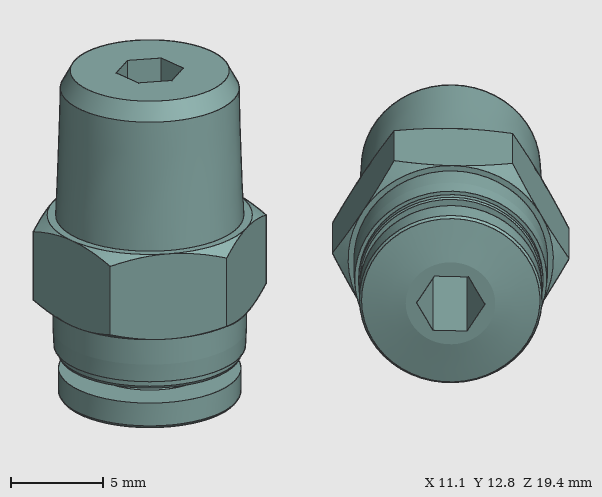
import cadquery as cq
import math

button_edge_z = 0.45
button_side_z = 0.6
button_top_z = 1.94
neck_flare_z = 2.23
body_bottom_z = 2.81
body_chamfer_z = 2.95
body_step_z = 3.3
body_taper_z = 4.3
hex_bottom_z = 5.92
hex_top_z = 10.92
thread_chamfer_z = 18.4
total_height = 19.4

button_face_diameter = 4.85
button_edge_diameter = 9.66
button_diameter = 9.9
neck_flare_diameter = 6.25
neck_diameter = 5.98
body_bottom_diameter = 9.85
body_lip_diameter = 10.0
body_step_diameter = 10.4
body_diameter = 10.5
thread_base_diameter = 10.2
thread_end_diameter = 9.7
thread_face_diameter = 8.61

hex_flats = 11.12
socket_flats = 3.2
hex_chamfer_angle = 30.0


def hexagon_prism(flats, bottom_z, top_z):
    """Vertical hexagonal prism with corners on the Y axis."""
    corner_diameter = flats / math.cos(math.radians(30))
    return (
        cq.Workplane("XY", origin=(0, 0, bottom_z))
        .transformed(rotate=(0, 0, 90))
        .polygon(6, corner_diameter)
        .extrude(top_z - bottom_z)
    )


def turned(sections):
    """Solid of revolution through (diameter, height) pairs listed from bottom to top."""
    outline = [(diameter / 2, z) for diameter, z in sections]
    axis_bottom = (0, sections[0][1])
    axis_top = (0, sections[-1][1])
    return (
        cq.Workplane("XZ")
        .polyline([axis_bottom] + outline + [axis_top])
        .close()
        .revolve(360, (0, 0, 0), (0, 1, 0))
    )


def chamfered_hex():
    """Wrench hexagon with conically trimmed corners at both ends."""
    corner_diameter = hex_flats / math.cos(math.radians(30))
    chamfer_height = (corner_diameter - hex_flats) / 2 * math.tan(math.radians(hex_chamfer_angle))
    envelope = turned([
        (hex_flats, hex_bottom_z),
        (corner_diameter, hex_bottom_z + chamfer_height),
        (corner_diameter, hex_top_z - chamfer_height),
        (hex_flats, hex_top_z),
    ])
    return hexagon_prism(hex_flats, hex_bottom_z, hex_top_z).intersect(envelope)


lower_end = turned([
    (button_face_diameter, 0),
    (button_edge_diameter, button_edge_z),
    (button_diameter, button_side_z),
    (button_diameter, button_top_z),
    (neck_flare_diameter, button_top_z),
    (neck_diameter, neck_flare_z),
    (neck_diameter, body_bottom_z),
    (body_bottom_diameter, body_bottom_z),
    (body_lip_diameter, body_chamfer_z),
    (body_lip_diameter, body_step_z),
    (body_step_diameter, body_step_z),
    (body_diameter, body_taper_z),
    (body_diameter, hex_bottom_z),
])

thread = turned([
    (thread_base_diameter, hex_top_z),
    (thread_end_diameter, thread_chamfer_z),
    (thread_face_diameter, total_height),
])

socket = hexagon_prism(socket_flats, 0, total_height)

result = chamfered_hex().union(lower_end).union(thread).cut(socket)